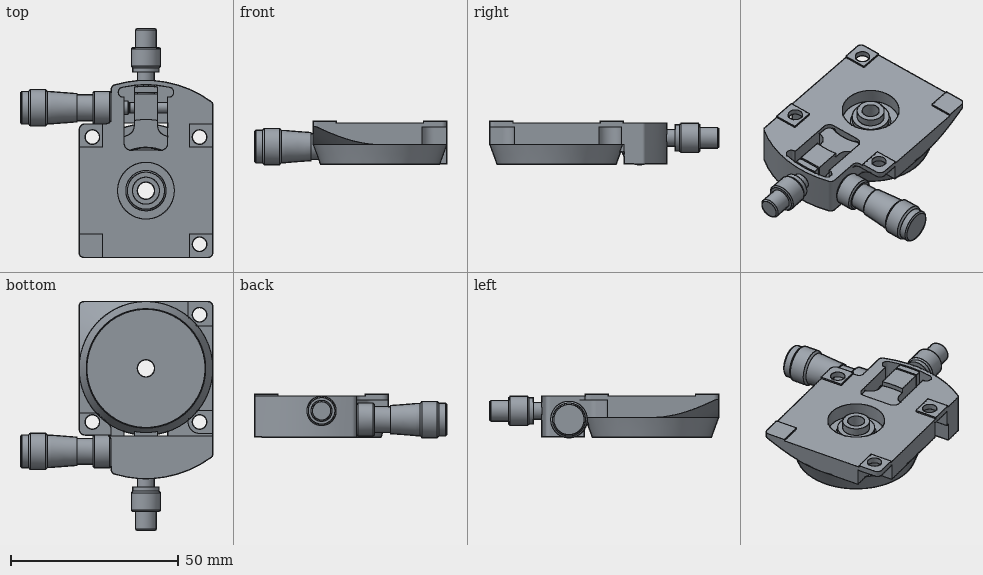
import cadquery as cq
import math


joint_z = 6.0
floor_z = 8.0
ring_top_z = 9.9
web_z = 11.1
ear_z = 11.25
hub_top_z = 12.3
plate_z = 12.55
pad_height = 0.5
block_z = 0.2
pocket_floor_z = 1.5
arm_bottom_z = 3.85

half_width = 20.0
block_left = -10.4
block_front = 20.2
block_radius = 33.0
corner_radius = 1.45
left_rear_corner_radius = 1.85
neck_corner_radius = 1.5
rear_corner_radius = 1.0
neck_inner_radius = 1.5

pad_size = 7.0
screw_offset = 16.0
screw_radius = 2.1
ear_pocket_radius = 3.4
left_pocket_front = 13.3
left_pocket_diagonal = 4.05
left_pocket_fillet = 2.5
undercut_slope = 0.7

window_half_width = 6.5
window_front = 12.1
window_corner_radius = 2.0
window_head_half_width = 8.3
window_head_front = 27.95
window_head_fillet = 1.45
window_head_radius = 31.7

bearing_radius = 8.5
boss_radius = 12.7
dial_clearance = 0.2

flange_radius = half_width
flange_bottom_radius = 17.9
flange_chamfer = 0.2
drum_radius = 17.5
recess_radius = 12.8
recess_chamfer = 0.2
ring_radius = 5.55
ring_flare = 0.5
hub_radius = 4.05
hub_bore_radius = 2.55

arm_half_width = 3.5
arm_root = 13.7
arm_fillet = 3.0
arm_end_radius = 31.25
arm_step_radius = 21.3
slit_front = 28.85
slit_width = 0.5
slit_floor_z = 4.45

micrometer_y = 24.8
micrometer_z = 5.4
tip_radius = 1.6
tip_sleeve_radius = 2.05
tip_sleeve_end = -5.4
tip_neck_radius = 1.45
tip_neck_start = -5.1
tip_neck_end = -4.7
lock_z = 8.0
lock_radius = 2.55


def block(x0, x1, y0, y1, z0, z1):
    """Box between two opposite corners."""
    return cq.Workplane("XY").box(x1 - x0, y1 - y0, z1 - z0, centered=False).translate((x0, y0, z0))


def disc(radius, z0, z1, x=0, y=0):
    """Upright cylinder between two levels."""
    return cq.Workplane("XY", origin=(x, y, z0)).circle(radius).extrude(z1 - z0)


def on_circle(radius, x):
    """Point at x on the rear half of a circle about the dial axis."""
    return (x, math.sqrt(radius**2 - x**2))


def turned(profile):
    """Revolve the closed outline through (radius, z) points about the dial axis."""
    return cq.Workplane("XZ").polyline(profile).close().revolve(360, (0, 0), (0, 1))


def round_upright_edge(body, x, y, radius):
    """Fillet the upright edge that passes through (x, y)."""
    reach = 0.1
    corner = cq.selectors.BoxSelector((x - reach, y - reach, -0.7), (x + reach, y + reach, 2 * plate_z))
    return body.edges("|Z").edges(corner).fillet(radius)


def round_plate_corners(body):
    """Round the two front corners and the left rear corner of the square plate."""
    body = round_upright_edge(body, -half_width, -half_width, corner_radius)
    body = round_upright_edge(body, half_width, -half_width, corner_radius)
    return round_upright_edge(body, -half_width, half_width, left_rear_corner_radius)


def housing_plan(z0, z1):
    """Square plate with the round-backed neck behind it, filled between two levels."""
    plan = (
        cq.Workplane("XY", origin=(0, 0, z0))
        .moveTo(-half_width, -half_width)
        .lineTo(half_width, -half_width)
        .lineTo(*on_circle(block_radius, half_width))
        .threePointArc((0, block_radius), on_circle(block_radius, block_left))
        .lineTo(block_left, half_width)
        .lineTo(-half_width, half_width)
        .close()
        .extrude(z1 - z0)
    )
    plan = round_plate_corners(plan)
    plan = round_upright_edge(plan, *on_circle(block_radius, block_left), neck_corner_radius)
    plan = round_upright_edge(plan, *on_circle(block_radius, half_width), rear_corner_radius)
    return round_upright_edge(plan, block_left, half_width, neck_inner_radius)


def pads():
    """Four raised corner pads, trimmed to the rounded plate corners."""
    top_z = plate_z + pad_height
    inner = half_width - pad_size
    corner_pads = round_plate_corners(block(-half_width, half_width, -half_width, half_width, plate_z, top_z))
    corner_pads = corner_pads.cut(block(-inner, inner, -half_width, half_width, plate_z, top_z))
    return corner_pads.cut(block(-half_width, half_width, -inner, inner, plate_z, top_z))


def window():
    """T-shaped opening in which the arm swings."""
    height = plate_z - pocket_floor_z
    stem = block(-window_half_width, window_half_width, window_front, window_head_front,
                 pocket_floor_z, plate_z)
    stem = stem.edges("|Z and <Y").fillet(window_corner_radius)
    head_left = on_circle(window_head_radius, -window_head_half_width)
    head_right = on_circle(window_head_radius, window_head_half_width)
    head = (
        cq.Workplane("XY", origin=(0, 0, pocket_floor_z))
        .moveTo(-window_head_half_width, window_head_front)
        .lineTo(window_head_half_width, window_head_front)
        .lineTo(*head_right)
        .threePointArc((0, window_head_radius), head_left)
        .close()
        .extrude(height)
        .edges("|Z")
        .fillet(window_head_fillet)
    )
    return stem.union(head)


def right_front_ear_pocket():
    """Notch under the right front ear, open to the right and to the front."""
    near = screw_offset - ear_pocket_radius
    notch = block(near, half_width, -half_width, -near, joint_z, ear_z)
    return round_upright_edge(notch, near, -near, ear_pocket_radius)


def right_rear_ear_pocket():
    """Round-ended slot under the right rear ear, open to the right."""
    slot = block(screw_offset, half_width, screw_offset - ear_pocket_radius,
                 screw_offset + ear_pocket_radius, joint_z, ear_z)
    return slot.union(disc(ear_pocket_radius, joint_z, ear_z, screw_offset, screw_offset))


def left_rear_ear_pocket():
    """Notch under the left rear ear with a diagonal inner wall, open to the left and to the rear."""
    rear = half_width + neck_inner_radius
    diagonal_start = (block_left - left_pocket_diagonal, left_pocket_front)
    diagonal_end = (block_left, left_pocket_front + left_pocket_diagonal)
    notch = (
        cq.Workplane("XY", origin=(0, 0, joint_z))
        .moveTo(-half_width, left_pocket_front)
        .lineTo(*diagonal_start)
        .lineTo(*diagonal_end)
        .lineTo(block_left, rear)
        .lineTo(-half_width, rear)
        .close()
        .extrude(ear_z - joint_z)
    )
    notch = round_upright_edge(notch, *diagonal_start, left_pocket_fillet)
    return round_upright_edge(notch, *diagonal_end, left_pocket_fillet)


def corner_undercut():
    """Conical relief that thins the left front corner from the dial rim outwards."""
    outer = half_width * math.sqrt(2)
    rise = (outer - flange_radius) * undercut_slope
    ring = turned([(flange_radius, joint_z), (outer, joint_z), (outer, joint_z + rise)])
    return ring.intersect(block(-half_width, 0, -half_width, 0, joint_z, plate_z))


def dial_cavity():
    """Ring-shaped space for the dial drum around the bearing boss."""
    cavity = disc(drum_radius + dial_clearance, joint_z, web_z)
    return cavity.cut(disc(boss_radius, floor_z, web_z))


def turned_along_x(profile):
    """Revolve (x, radius) points about the micrometer axis."""
    part = cq.Workplane("XY").polyline(profile).close().revolve(360, (0, 0), (1, 0))
    return part.translate((0, micrometer_y, micrometer_z))


def micrometer():
    """Micrometer head on the left: end cap, knob, tapered thimble, barrel and mounting collar."""
    head_start = -37.5
    cap_radius = 4.9
    cap_chamfer = 0.4
    cap_end = -35.15
    knob_radius = 5.5
    knob_start = -34.5
    knob_end = -30.1
    thimble_start = -29.45
    taper_start = -28.5
    thimble_end = -20.55
    thimble_radius = 4.85
    thimble_end_radius = 4.25
    barrel_radius = 3.9
    collar_start = -15.9
    collar_chamfer = 0.5
    return turned_along_x([
        (head_start, 0),
        (head_start, cap_radius - cap_chamfer),
        (head_start + cap_chamfer, cap_radius),
        (cap_end, cap_radius),
        (knob_start, knob_radius),
        (knob_end, knob_radius),
        (thimble_start, thimble_radius),
        (taper_start, thimble_radius),
        (thimble_end, thimble_end_radius),
        (thimble_end, barrel_radius),
        (collar_start, barrel_radius),
        (collar_start, cap_radius - collar_chamfer),
        (collar_start + collar_chamfer, cap_radius),
        (block_left - collar_chamfer, cap_radius),
        (block_left, cap_radius - collar_chamfer),
        (block_left, 0),
    ])


def micrometer_tip():
    """Sleeve and spindle that reach from the window's left wall to the arm."""
    return turned_along_x([
        (-window_half_width, 0),
        (-window_half_width, tip_sleeve_radius),
        (tip_sleeve_end, tip_sleeve_radius),
        (tip_neck_start, tip_neck_radius),
        (tip_neck_end, tip_neck_radius),
        (tip_neck_end, tip_radius),
        (-arm_half_width, tip_radius),
        (-arm_half_width, 0),
    ])


def return_plunger():
    """Plain pin that pushes on the arm from the window's right wall."""
    return turned_along_x([
        (arm_half_width, 0),
        (arm_half_width, tip_radius),
        (window_half_width, tip_radius),
        (window_half_width, 0),
    ])


def lock_screw():
    """Lock screw at the rear: shaft, flange, collar and end grip."""
    flange_start = 35.4
    collar_start = 36.7
    collar_end = 42.8
    screw_end = 48.5
    lock_flange_radius = 4.0
    collar_radius = 4.4
    grip_radius = 3.15
    collar_chamfer = 0.55
    end_chamfer = 0.4
    profile = [
        (0, slit_front),
        (lock_radius, slit_front),
        (lock_radius, flange_start),
        (lock_flange_radius, flange_start),
        (lock_flange_radius, collar_start),
        (collar_radius, collar_start + collar_chamfer),
        (collar_radius, collar_end - end_chamfer),
        (collar_radius - end_chamfer, collar_end),
        (grip_radius, collar_end),
        (grip_radius, screw_end - end_chamfer),
        (grip_radius - end_chamfer, screw_end),
        (0, screw_end),
    ]
    screw = cq.Workplane("XY").polyline(profile).close().revolve(360, (0, 0), (0, 1))
    return screw.translate((0, 0, lock_z))


def make_housing():
    below_plate = block(-half_width, half_width, -half_width, block_front, block_z, joint_z)
    body = housing_plan(block_z, plate_z).cut(below_plate).union(pads())
    body = body.cut(dial_cavity()).cut(disc(bearing_radius, joint_z, plate_z)).cut(window())
    for pocket in [right_front_ear_pocket(), right_rear_ear_pocket(), left_rear_ear_pocket()]:
        body = body.cut(pocket)
    body = body.cut(corner_undercut())
    for x, y in [(-screw_offset, screw_offset), (screw_offset, screw_offset), (screw_offset, -screw_offset)]:
        body = body.cut(disc(screw_radius, joint_z, plate_z + pad_height, x, y))
    for adjuster in [micrometer(), micrometer_tip(), return_plunger(), lock_screw()]:
        body = body.union(adjuster)
    return body


def dial_wheel():
    """Turned dial: conical flange, drum with a recess, shoulder ring and bored hub."""
    return turned([
        (hub_bore_radius, 0),
        (flange_bottom_radius - flange_chamfer, 0),
        (flange_bottom_radius, flange_chamfer),
        (flange_radius, joint_z),
        (drum_radius, joint_z),
        (drum_radius, web_z),
        (recess_radius + recess_chamfer, web_z),
        (recess_radius, web_z - recess_chamfer),
        (recess_radius, floor_z),
        (ring_radius + ring_flare, floor_z),
        (ring_radius, floor_z + ring_flare),
        (ring_radius, ring_top_z),
        (hub_radius, ring_top_z),
        (hub_radius, hub_top_z),
        (hub_bore_radius, hub_top_z),
    ])


def arm_flares():
    """Concave fillets between the drum and both sides of the arm, above the flange."""
    centre_x = arm_half_width + arm_fillet
    centre_y = math.sqrt((drum_radius + arm_fillet)**2 - centre_x**2)
    drum_share = drum_radius / (drum_radius + arm_fillet)
    tangent_x = centre_x * drum_share
    tangent_y = centre_y * drum_share
    flare = block(-tangent_x, tangent_x, tangent_y, centre_y, joint_z, web_z)
    for side in (-1, 1):
        flare = flare.cut(disc(arm_fillet, joint_z, web_z, side * centre_x, centre_y))
    return flare


def lock_bore():
    """Bore for the lock screw, from the slit's inner face out through the end of the arm."""
    bore = cq.Workplane("XZ").circle(lock_radius).extrude(slit_front - arm_end_radius)
    return bore.translate((0, slit_front, lock_z))


def arm():
    """Radial arm between the adjusters, raised beyond its step and slit near its end."""
    bar = block(-arm_half_width, arm_half_width, arm_root, arm_end_radius, arm_bottom_z, plate_z)
    bar = bar.intersect(disc(arm_end_radius, arm_bottom_z, plate_z))
    bar = bar.cut(disc(arm_step_radius, web_z, plate_z))
    slit = block(-arm_half_width, arm_half_width, slit_front, slit_front + slit_width, slit_floor_z, plate_z)
    return bar.cut(slit).cut(lock_bore())


def make_dial():
    return dial_wheel().union(arm_flares()).union(arm())


housing = make_housing()
dial = make_dial()

result = cq.Compound.makeCompound([housing.solids().val(), dial.solids().val()])